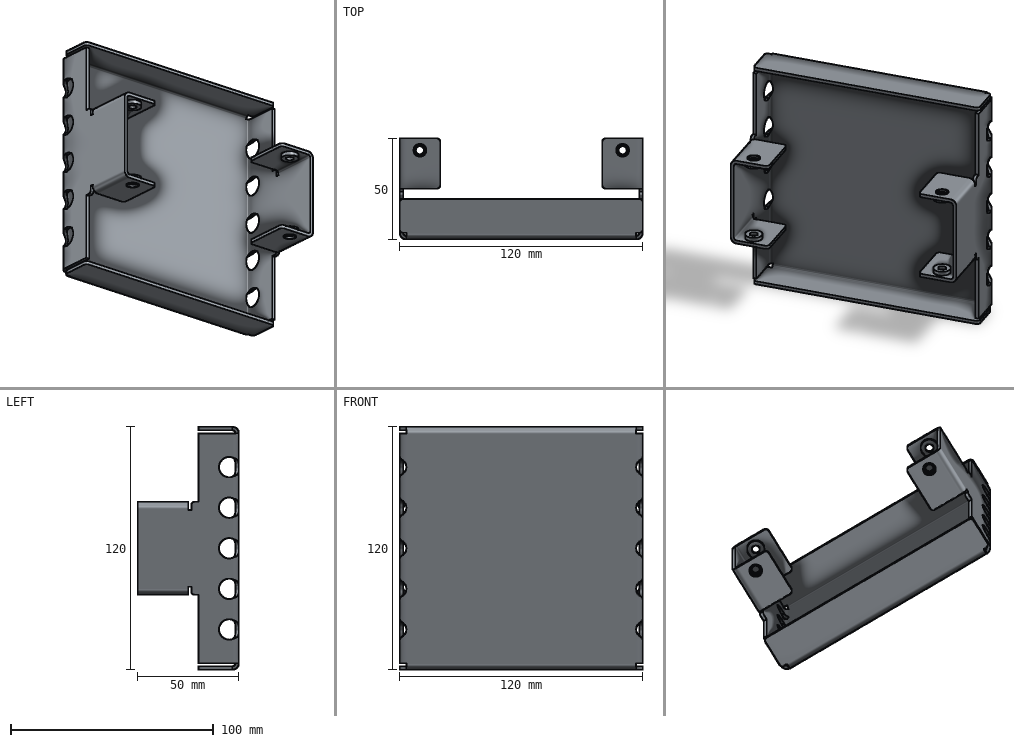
import math

import cadquery as cq

SIZE = 120.0
TRAY_DEPTH = 20.0
TOTAL_DEPTH = 50.0
THICKNESS = 1.8
BEND_OUTER = 3.2
NEUTRAL_FRACTION = 0.4
CORNER_RADIUS = 1.8

ARM_HEIGHT = 46.0
TAB_WIDTH = 20.0
TAB_DEPTH = 25.1
RELIEF_WIDTH = 1.5
RELIEF_DEPTH = 4.0
SHOULDER_RADIUS = 1.5

VENT_DIAMETER = 10.0
VENT_COUNT = 5
VENT_PITCH = 20.0

NUT_FROM_SIDE = 10.0
NUT_FROM_REAR = 6.0
NUT_SHANK_DIAMETER = 6.4
NUT_HEAD_DIAMETER = 8.6
NUT_HEAD_HEIGHT = 2.0
NUT_BORE_DIAMETER = 4.0
NUT_COUNTERBORE_DIAMETER = 5.0
NUT_COUNTERBORE_DEPTH = 1.2

CLEARANCE = 0.6
BEND_STEPS = 12
START_ANGLE = -0.3

HALF = SIZE / 2
HALF_ARM = ARM_HEIGHT / 2
FLAT_HALF = HALF - BEND_OUTER
BEND_INNER = BEND_OUTER - THICKNESS
NEUTRAL_RADIUS = BEND_INNER + NEUTRAL_FRACTION * THICKNESS
VENT_RADIUS = VENT_DIAMETER / 2
VENT_FROM_BEND = VENT_RADIUS - NEUTRAL_RADIUS * math.pi / 2
TAB_FRONT = TOTAL_DEPTH - TAB_DEPTH
RELIEF_FRONT = TAB_FRONT - RELIEF_WIDTH
NUT_X = HALF - NUT_FROM_SIDE
NUT_Y = TOTAL_DEPTH - NUT_FROM_REAR
NUT_CONE_HEIGHT = (NUT_COUNTERBORE_DIAMETER - NUT_BORE_DIAMETER) / 2


def box(x_range, y_range, z_range):
    """Box between two limits along each axis."""
    (x0, x1), (y0, y1), (z0, z1) = x_range, y_range, z_range
    return cq.Workplane("XY").box(x1 - x0, y1 - y0, z1 - z0, centered=False).translate((x0, y0, z0))


def channel(width, depth, length, corner_radius=0):
    """U-channel along Z: web on the XZ plane, legs toward +Y, their free corners optionally rounded."""
    inner_half = width / 2 - THICKNESS
    z_range = (-length / 2, length / 2)
    outside = box((-width / 2, width / 2), (0, depth), z_range).edges("|Z and <Y").fillet(BEND_OUTER)
    inside = box((-inner_half, inner_half), (THICKNESS, depth), z_range).edges("|Z and <Y").fillet(BEND_INNER)
    bent = outside.cut(inside)
    if corner_radius:
        bent = bent.edges("|X and >Y").fillet(corner_radius)
    return bent


def make_flanged_panel():
    """Front panel bent into top and bottom flanges that run the full width with rounded corners."""
    panel = channel(SIZE, TRAY_DEPTH, 2 * FLAT_HALF).rotate((0, 0, 0), (0, 1, 0), 90)
    for z_range in ((-HALF, THICKNESS - HALF), (HALF - THICKNESS, HALF)):
        flange = box((-HALF, HALF), (BEND_OUTER, TRAY_DEPTH), z_range)
        panel = panel.union(flange.edges("|Z").fillet(CORNER_RADIUS))
    return panel


def vent_half_length(offset):
    """Half the chord of a round vent at an offset from its centre."""
    return math.sqrt(VENT_RADIUS ** 2 - offset ** 2)


def bend_sector(z):
    """Slice at height z of the part of a vent that is folded around the left bend."""
    end_angle = (vent_half_length(z) - VENT_FROM_BEND) / NEUTRAL_RADIUS
    inner = BEND_INNER - CLEARANCE
    outer = BEND_OUTER + CLEARANCE

    def at(radius, angle):
        return cq.Vector(-FLAT_HALF - radius * math.cos(angle), BEND_OUTER - radius * math.sin(angle), z)

    middle_angle = (START_ANGLE + end_angle) / 2
    return cq.Wire.assembleEdges([
        cq.Edge.makeThreePointArc(at(inner, START_ANGLE), at(inner, middle_angle), at(inner, end_angle)),
        cq.Edge.makeLine(at(inner, end_angle), at(outer, end_angle)),
        cq.Edge.makeThreePointArc(at(outer, end_angle), at(outer, middle_angle), at(outer, START_ANGLE)),
        cq.Edge.makeLine(at(outer, START_ANGLE), at(inner, START_ANGLE)),
    ])


def make_vent_cutters():
    """Cutters at mid height for a round hole, cut before folding, in the left wall and around its bend."""
    in_wall = (
        cq.Workplane("YZ", origin=(-HALF - CLEARANCE, BEND_OUTER + VENT_FROM_BEND, 0))
        .circle(VENT_RADIUS).extrude(BEND_OUTER)
        .intersect(box((-SIZE, 0), (BEND_OUTER, TRAY_DEPTH), (-VENT_RADIUS, VENT_RADIUS)))
    )
    top = vent_half_length(VENT_FROM_BEND + NEUTRAL_RADIUS * START_ANGLE / 2)
    heights = [top * (2 * step / BEND_STEPS - 1) for step in range(BEND_STEPS + 1)]
    around_bend = cq.Workplane(cq.Solid.makeLoft([bend_sector(z) for z in heights]))
    return in_wall, around_bend


def make_vented_sides():
    """Front panel bent into both side walls, with a column of folded vents around each bend."""
    sides = channel(SIZE, TRAY_DEPTH, 2 * FLAT_HALF)
    for cutter in make_vent_cutters():
        for index in range(VENT_COUNT):
            z = (index - (VENT_COUNT - 1) / 2) * VENT_PITCH
            left = cutter.translate((0, 0, z))
            sides = sides.cut(left).cut(left.mirror("YZ"))
    return sides


def make_arm():
    """Rear arm of the left side wall: a shoulder, a neck between relief slots and two mounting tabs."""
    wall_x = (-HALF, THICKNESS - HALF)
    neck_half = HALF_ARM - RELIEF_DEPTH
    shoulder = (
        box(wall_x, (TRAY_DEPTH, RELIEF_FRONT), (-HALF_ARM, HALF_ARM))
        .edges("|X and >Y").fillet(SHOULDER_RADIUS)
    )
    neck = box(wall_x, (TRAY_DEPTH, TAB_FRONT), (-neck_half, neck_half))
    tabs = (
        channel(ARM_HEIGHT, TAB_WIDTH, TAB_DEPTH, CORNER_RADIUS)
        .rotate((0, 0, 0), (1, 1, 1), -120)
        .translate((-HALF, TAB_FRONT + TAB_DEPTH / 2, 0))
    )
    nut_holes = (
        cq.Workplane("XY", origin=(-NUT_X, NUT_Y, -HALF_ARM))
        .circle(NUT_SHANK_DIAMETER / 2).extrude(ARM_HEIGHT)
    )
    return shoulder.union(neck).union(tabs).cut(nut_holes)


def make_housing():
    """The one-piece sheet metal housing."""
    arm = make_arm()
    return make_flanged_panel().union(make_vented_sides()).union(arm).union(arm.mirror("YZ"))


def make_nut():
    """Clinch nut on the Z axis, its head below the sheet and its counterbored shank ending at Z = 0."""
    bottom = -THICKNESS - NUT_HEAD_HEIGHT
    profile = [
        (NUT_BORE_DIAMETER / 2, bottom),
        (NUT_HEAD_DIAMETER / 2, bottom),
        (NUT_HEAD_DIAMETER / 2, -THICKNESS),
        (NUT_SHANK_DIAMETER / 2, -THICKNESS),
        (NUT_SHANK_DIAMETER / 2, 0),
        (NUT_COUNTERBORE_DIAMETER / 2, 0),
        (NUT_COUNTERBORE_DIAMETER / 2, -NUT_COUNTERBORE_DEPTH),
        (NUT_BORE_DIAMETER / 2, -NUT_COUNTERBORE_DEPTH - NUT_CONE_HEIGHT),
    ]
    return cq.Workplane("XZ").polyline(profile).close().revolve(360, (0, 0, 0), (0, 1, 0))


def make_nuts():
    """One nut in each tab, shank outward and head inside the arm."""
    upper = make_nut().translate((0, NUT_Y, HALF_ARM))
    lower = upper.mirror("XY")
    return [nut.translate((x, 0, 0)) for nut in (upper, lower) for x in (-NUT_X, NUT_X)]


housing = make_housing()
nuts = make_nuts()
result = cq.Compound.makeCompound([housing.val(), *[nut.val() for nut in nuts]])